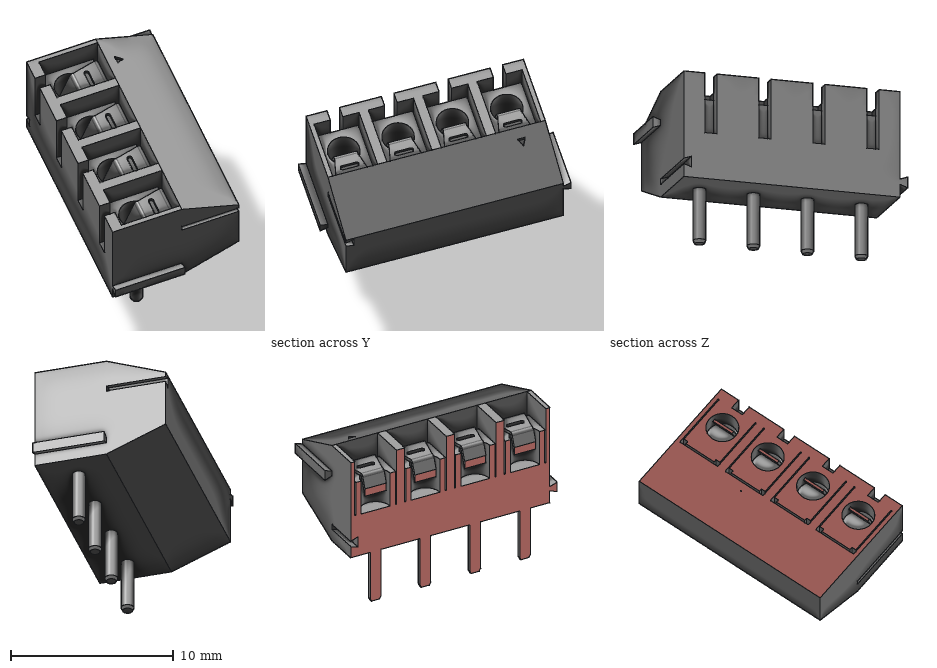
import cadquery as cq
import math

POLES = 4
PITCH = 3.5

HOUSING_LENGTH = POLES * PITCH
HOUSING_DEPTH = 8.4
HOUSING_HEIGHT = 6.8
FRONT_Y = -2.3
BACK_Y = FRONT_Y + HOUSING_DEPTH
FLAT_DEPTH = 4.6
RIDGE_Y = FRONT_Y + FLAT_DEPTH
BEVEL_RISE = 1.5

FRONT_WALL = 0.7
WELL_WIDTH = 2.9
WELL_FLOOR_Z = 2.95
WELL_FRONT_Y = FRONT_Y + FRONT_WALL
SLOT_WIDTH = 0.8

CLAMP_WIDTH = 2.8
CLAMP_TOP_Z = HOUSING_HEIGHT - 1.5
CLAMP_BACK_Y = FRONT_Y + 4.3
CLAMP_HOLE_DIAMETER = 2.0
CLAMP_HOLE_Y = FRONT_Y + 2.2

SHEET = 0.2
SPRING_TOP_Z = CLAMP_TOP_Z + SHEET
SPRING_BACK_Y = CLAMP_BACK_Y + SHEET
BEND_RADIUS = 0.25
BACK_BEND_Y = SPRING_BACK_Y - BEND_RADIUS
SPRING_BACK_WIDTH = 2.2
TONGUE_WIDTH = 1.5
TAPER_END_Y = FRONT_Y + 2.75
TONGUE_BEND_Y = FRONT_Y + 2.7
TONGUE_TIP_Y = FRONT_Y + 1.75
TONGUE_SLOPE = math.radians(69)
SPRING_SLOT_LENGTH = 1.2
SPRING_SLOT_WIDTH = 0.3
SPRING_SLOT_Y = FRONT_Y + 3.46

PIN_DIAMETER = 0.8
PIN_LENGTH = 3.5
PIN_TIP_HEIGHT = 0.2
PIN_TIP_INSET = 0.1

DOVETAIL_REACH = 0.5
DOVETAIL_ROOT = 0.35
DOVETAIL_OUTER = 0.7
UPPER_DOVETAIL_Z = 4.8
LOWER_DOVETAIL_Z = 1.0

MARK_WIDTH = 0.5
MARK_HEIGHT = 0.45
MARK_BASE_Y = FRONT_Y + 5.25
MARK_DEPTH = 0.2

LEFT_X = -HOUSING_LENGTH / 2
RIGHT_X = HOUSING_LENGTH / 2
POLE_XS = [LEFT_X + PITCH * (pole + 0.5) for pole in range(POLES)]


def block(x_range, y_range, z_range):
    """Box between the given limits."""
    size = [high - low for low, high in (x_range, y_range, z_range)]
    corner = (x_range[0], y_range[0], z_range[0])
    return cq.Workplane("XY").box(*size, centered=False).translate(corner)


def across(x, width):
    """X limits of a feature of the given width centred on x."""
    return (x - width / 2, x + width / 2)


def side_profile(x, width):
    """YZ workplane set so that extruding by width centres the result on x."""
    return cq.Workplane("YZ", origin=(x - width / 2, 0, 0))


def housing():
    return (
        side_profile(0, HOUSING_LENGTH)
        .moveTo(FRONT_Y, 0)
        .lineTo(RIDGE_Y, 0)
        .lineTo(BACK_Y, BEVEL_RISE)
        .lineTo(BACK_Y, HOUSING_HEIGHT - BEVEL_RISE)
        .lineTo(RIDGE_Y, HOUSING_HEIGHT)
        .lineTo(FRONT_Y, HOUSING_HEIGHT)
        .close()
        .extrude(HOUSING_LENGTH)
    )


def dovetail(root_x, z, y_range):
    """Bar along Y that widens from its root at root_x towards -X."""
    outer_x = root_x - DOVETAIL_REACH
    return (
        cq.Workplane("XZ", origin=(0, y_range[1], 0))
        .moveTo(root_x, z - DOVETAIL_ROOT / 2)
        .lineTo(root_x, z + DOVETAIL_ROOT / 2)
        .lineTo(outer_x, z + DOVETAIL_OUTER / 2)
        .lineTo(outer_x, z - DOVETAIL_OUTER / 2)
        .close()
        .extrude(y_range[1] - y_range[0])
    )


def mirrored(bar):
    """The bar turned to face the opposite way across X = 0."""
    return bar.mirror("YZ")


def well(x):
    """Space cut out of the housing for one clamp, including its front slot."""
    z_range = (WELL_FLOOR_Z, HOUSING_HEIGHT)
    pocket = block(across(x, WELL_WIDTH), (WELL_FRONT_Y, RIDGE_Y), z_range)
    slot = block(across(x, SLOT_WIDTH), (FRONT_Y, WELL_FRONT_Y), z_range)
    return pocket.union(slot)


def clamp(x):
    body = block(across(x, CLAMP_WIDTH), (WELL_FRONT_Y, CLAMP_BACK_Y), (WELL_FLOOR_Z, CLAMP_TOP_Z))
    hole = (
        cq.Workplane("XY", origin=(x, CLAMP_HOLE_Y, WELL_FLOOR_Z))
        .circle(CLAMP_HOLE_DIAMETER / 2)
        .extrude(CLAMP_TOP_Z - WELL_FLOOR_Z)
    )
    return body.cut(hole)


def spring(x):
    """Sheet that hooks over the back of the clamp and dips a tongue into its hole."""
    bend_centre_z = SPRING_TOP_Z - BEND_RADIUS

    def on_bend(angle):
        return (
            TONGUE_BEND_Y - BEND_RADIUS * math.sin(angle),
            bend_centre_z + BEND_RADIUS * math.cos(angle),
        )

    bend_end = on_bend(TONGUE_SLOPE)
    tip_z = bend_end[1] - (bend_end[0] - TONGUE_TIP_Y) * math.tan(TONGUE_SLOPE)
    underside_y = TONGUE_TIP_Y + SHEET / math.sin(TONGUE_SLOPE)
    underside_top_y = underside_y + (CLAMP_TOP_Z - tip_z) / math.tan(TONGUE_SLOPE)
    side = (
        side_profile(x, SPRING_BACK_WIDTH)
        .moveTo(BACK_BEND_Y, SPRING_TOP_Z)
        .lineTo(TONGUE_BEND_Y, SPRING_TOP_Z)
        .threePointArc(on_bend(TONGUE_SLOPE / 2), bend_end)
        .lineTo(TONGUE_TIP_Y, tip_z)
        .lineTo(underside_y, tip_z)
        .lineTo(underside_top_y, CLAMP_TOP_Z)
        .lineTo(CLAMP_BACK_Y, CLAMP_TOP_Z)
        .lineTo(CLAMP_BACK_Y, WELL_FLOOR_Z)
        .lineTo(SPRING_BACK_Y, WELL_FLOOR_Z)
        .lineTo(SPRING_BACK_Y, SPRING_TOP_Z - BEND_RADIUS)
        .radiusArc((BACK_BEND_Y, SPRING_TOP_Z), -BEND_RADIUS)
        .close()
        .extrude(SPRING_BACK_WIDTH)
    )
    plan = (
        cq.Workplane("XY", origin=(x, 0, WELL_FLOOR_Z))
        .moveTo(-SPRING_BACK_WIDTH / 2, SPRING_BACK_Y)
        .lineTo(SPRING_BACK_WIDTH / 2, SPRING_BACK_Y)
        .lineTo(SPRING_BACK_WIDTH / 2, BACK_BEND_Y)
        .lineTo(TONGUE_WIDTH / 2, TAPER_END_Y)
        .lineTo(TONGUE_WIDTH / 2, TONGUE_TIP_Y)
        .lineTo(-TONGUE_WIDTH / 2, TONGUE_TIP_Y)
        .lineTo(-TONGUE_WIDTH / 2, TAPER_END_Y)
        .lineTo(-SPRING_BACK_WIDTH / 2, BACK_BEND_Y)
        .close()
        .extrude(SPRING_TOP_Z - WELL_FLOOR_Z)
    )
    slot = (
        cq.Workplane("XY", origin=(x, SPRING_SLOT_Y, CLAMP_TOP_Z))
        .slot2D(SPRING_SLOT_LENGTH, SPRING_SLOT_WIDTH)
        .extrude(SHEET)
    )
    return side.intersect(plan).cut(slot)


def pin(x):
    radius = PIN_DIAMETER / 2
    half_section = (
        cq.Workplane("XZ", origin=(x, 0, 0))
        .moveTo(0, 0)
        .lineTo(radius, 0)
        .lineTo(radius, PIN_TIP_HEIGHT - PIN_LENGTH)
        .lineTo(radius - PIN_TIP_INSET, -PIN_LENGTH)
        .lineTo(0, -PIN_LENGTH)
        .close()
    )
    return half_section.revolve(360, (0, 0, 0), (0, 1, 0))


def first_pole_mark():
    """Triangular prism reaching MARK_DEPTH below the sloping top, pointing towards the back."""
    triangle = (
        cq.Workplane("XY", origin=(POLE_XS[0], MARK_BASE_Y, 0))
        .moveTo(-MARK_WIDTH / 2, 0)
        .lineTo(MARK_WIDTH / 2, 0)
        .lineTo(0, MARK_HEIGHT)
        .close()
        .extrude(HOUSING_HEIGHT)
    )
    return triangle.cut(housing().translate((0, 0, -MARK_DEPTH)))


result = housing()

back_range = (RIDGE_Y, BACK_Y)
front_range = (FRONT_Y, RIDGE_Y)
result = result.union(dovetail(LEFT_X, UPPER_DOVETAIL_Z, back_range))
result = result.union(mirrored(dovetail(LEFT_X, LOWER_DOVETAIL_Z, front_range)))
result = result.cut(dovetail(RIGHT_X, UPPER_DOVETAIL_Z, back_range))
result = result.cut(mirrored(dovetail(RIGHT_X, LOWER_DOVETAIL_Z, front_range)))
result = result.cut(first_pole_mark())

for pole_x in POLE_XS:
    result = result.cut(well(pole_x))
    result = result.union(clamp(pole_x))
    result = result.union(spring(pole_x))
    result = result.union(pin(pole_x))